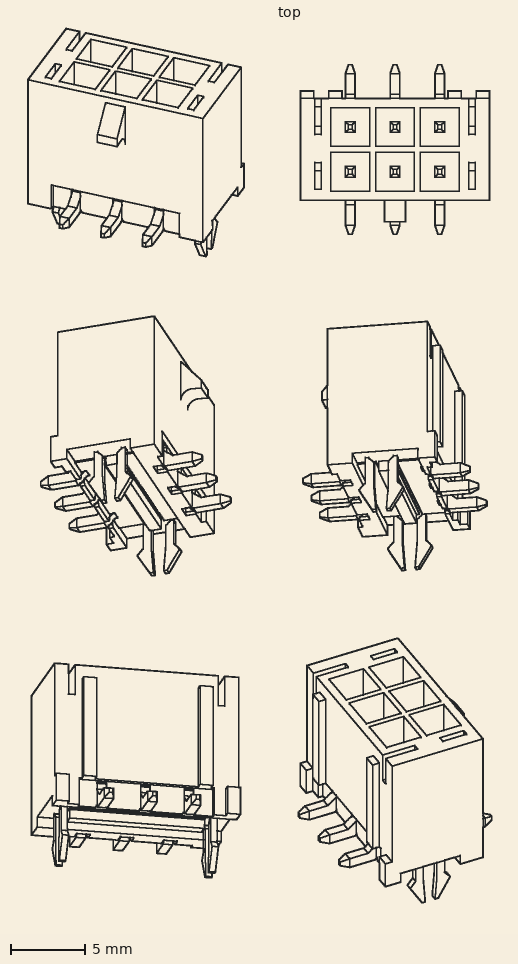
import cadquery as cq


HOUSING_LENGTH = 12.7
HOUSING_WIDTH = 6.84
HOUSING_HEIGHT = 9.92
HALF_LENGTH = HOUSING_LENGTH / 2
HALF_WIDTH = HOUSING_WIDTH / 2

COLUMNS = 3
PITCH = 3.0
ROW_REACH = PITCH / 2
CAVITY_SIZE = 2.6
CAVITY_FLOOR = 2.6

RECESS_LENGTH = 9.3
RECESS_HEIGHT = 1.91
RECESS_DEPTH = 0.34
SLOT_FLARE_WIDTH = 0.14
SLOT_FLARE_HEIGHT = 0.18

CHANNEL_FRONT = -1.72
CHANNEL_BACK = 2.77
CHANNEL_HEIGHT = 0.61
END_CHANNEL_HEIGHT = 0.72
RIB_FRONT = -0.23
RIB_BACK = 0.58
GROOVE_WIDTH = 0.18
FRONT_GROOVE_START = RIB_FRONT - GROOVE_WIDTH
BACK_GROOVE_START = 0.79

BACK_RIB_PROJECTION = 0.51
BACK_RIB_WIDTH = 0.9
BACK_RIB_TOP = 8.93
BACK_RIB_CENTRE = 4.0
FOOT_CENTRE = HALF_LENGTH - BACK_RIB_WIDTH / 2

LATCH_WIDTH = 1.42
LATCH_PROJECTION = 1.44
LATCH_TOP = 9.46
LATCH_NOSE_TOP = 7.77
LATCH_NOSE_BOTTOM = 7.15
LATCH_ROOT = 6.49
LATCH_FILLET = 0.73

PIN_WIDTH = 0.66
PIN_DEPTH = 0.73
PIN_TIP_WIDTH = 0.25
PIN_TIP_DEPTH = 0.31
PIN_TAPER = 0.61
FOOT_TIP_REACH = 11.4 / 2
POST_TOP = 7.8
RUN_TOP = 1.81
DROP_INNER_REACH = 2.39
DROP_OUTER_REACH = 2.83
UPPER_BEND_TOP = 1.4
UPPER_BEND_REACH = 3.7
LOWER_BEND_REACH = 3.16

CLIP_THICKNESS = 0.44
CLIP_X = 5.16
CLIP_Y = 0.06
CLIP_BOTTOM = HOUSING_HEIGHT - 13.0
BAR_HALF_SPAN = 1.5
BAR_TOP = 3.9
LEG_OUTER = 1.09
LEG_INNER = 0.51
LEG_NECK = 0.83
NECK_END = 0.36
NECK_START = NECK_END + LEG_NECK - LEG_INNER
BARB_SPAN = 1.51
BARB_SHOULDER = -1.12
BARB_POINT = -1.59
INNER_SPLAY_START = -1.25
LEG_TIP_OUTER = 0.61
LEG_TIP_INNER = 0.36

SLOT_INNER = 0.95
BACK_SLOT_OUTER = 2.81
FRONT_SLOT_OUTER = 2.74
SLOT_FLOOR = 3.25
BACK_NOTCH_FLOOR = 7.8


def block(x_range, y_range, z_range):
    """Axis-aligned box given by its limits on each axis."""
    (x0, x1), (y0, y1), (z0, z1) = x_range, y_range, z_range
    return cq.Workplane("XY").box(x1 - x0, y1 - y0, z1 - z0, centered=False).translate((x0, y0, z0))


def centred(middle, width):
    """Limits of a stretch of the given width around its middle."""
    return (middle - width / 2, middle + width / 2)


def yz_plate(outline, thickness):
    """Plate centred on X = 0 with a straight-sided outline of (y, z) points."""
    return cq.Workplane("YZ").polyline(outline).close().extrude(thickness / 2, both=True)


def turned_to_back(body):
    return body.rotate((0, 0, 0), (0, 0, 1), 180)


def at_each_pin(front_body):
    """Copies of a front-row body at every column of the front and back rows."""
    copies = []
    for column in range(COLUMNS):
        x = (column - (COLUMNS - 1) / 2) * PITCH
        copies.append(front_body.translate((x, 0, 0)))
        copies.append(turned_to_back(front_body).translate((x, 0, 0)))
    return copies


def tapered_tip(plane):
    """Pointed end of a pin, growing along the normal of the plane."""
    return (
        plane.rect(PIN_WIDTH, PIN_DEPTH)
        .workplane(offset=PIN_TAPER)
        .rect(PIN_TIP_WIDTH, PIN_TIP_DEPTH)
        .loft(combine=True)
    )


def make_pin():
    """Front-row pin: upright post, run outward, drop, slanted bend and level foot."""
    post_inner = ROW_REACH - PIN_DEPTH / 2
    post_outer = ROW_REACH + PIN_DEPTH / 2
    post_shoulder = POST_TOP - PIN_TAPER
    foot_shoulder = FOOT_TIP_REACH - PIN_TAPER
    run_bottom = RUN_TOP - PIN_DEPTH
    lower_bend_top = LOWER_BEND_REACH - DROP_INNER_REACH
    outline = [
        (-post_inner, run_bottom),
        (-DROP_INNER_REACH, run_bottom),
        (-DROP_INNER_REACH, lower_bend_top),
        (-LOWER_BEND_REACH, 0),
        (-foot_shoulder, 0),
        (-foot_shoulder, PIN_DEPTH),
        (-UPPER_BEND_REACH, PIN_DEPTH),
        (-DROP_OUTER_REACH, UPPER_BEND_TOP),
        (-DROP_OUTER_REACH, RUN_TOP),
        (-post_outer, RUN_TOP),
        (-post_outer, post_shoulder),
        (-post_inner, post_shoulder),
    ]
    post_tip = tapered_tip(cq.Workplane("XY", origin=(0, -ROW_REACH, post_shoulder)))
    foot_tip = tapered_tip(cq.Workplane("XZ", origin=(0, -foot_shoulder, PIN_DEPTH / 2)))
    return yz_plate(outline, PIN_WIDTH).union(post_tip).union(foot_tip)


def make_clip(x):
    """Board-lock clip: a bar held in the housing with two barbed legs below it."""
    leg = [
        (LEG_OUTER, RECESS_HEIGHT),
        (LEG_OUTER, BARB_SHOULDER),
        (BARB_SPAN, BARB_POINT),
        (LEG_TIP_OUTER, CLIP_BOTTOM),
        (LEG_TIP_INNER, CLIP_BOTTOM),
        (LEG_INNER, INNER_SPLAY_START),
        (LEG_INNER, NECK_END),
        (LEG_NECK, NECK_START),
        (LEG_NECK, RECESS_HEIGHT),
    ]
    back_half = [(BAR_HALF_SPAN, BAR_TOP), (BAR_HALF_SPAN, RECESS_HEIGHT)] + leg
    front_half = [(-y, z) for y, z in reversed(back_half)]
    return yz_plate(back_half + front_half, CLIP_THICKNESS).translate((x, CLIP_Y, 0))


def make_latch():
    """Ramped hook on the front face, with a concave root below its nose."""
    arc_shift = LATCH_FILLET * (1 - 0.5**0.5)
    arc_top = LATCH_ROOT + LATCH_FILLET
    return (
        cq.Workplane("YZ")
        .moveTo(-HALF_WIDTH, LATCH_TOP)
        .lineTo(-HALF_WIDTH - LATCH_PROJECTION, LATCH_NOSE_TOP)
        .lineTo(-HALF_WIDTH - LATCH_PROJECTION, LATCH_NOSE_BOTTOM)
        .lineTo(-HALF_WIDTH - LATCH_FILLET, arc_top)
        .threePointArc(
            (-HALF_WIDTH - arc_shift, arc_top - arc_shift),
            (-HALF_WIDTH, LATCH_ROOT),
        )
        .close()
        .extrude(LATCH_WIDTH / 2, both=True)
    )


def make_pin_slot():
    """Front-row slot in the recess wall, with its mouth flared at the bottom."""
    half_slot = PIN_WIDTH / 2
    half_mouth = half_slot + SLOT_FLARE_WIDTH
    outline = [
        (-half_mouth, 0),
        (half_mouth, 0),
        (half_slot, SLOT_FLARE_HEIGHT),
        (half_slot, RUN_TOP),
        (-half_slot, RUN_TOP),
        (-half_slot, SLOT_FLARE_HEIGHT),
    ]
    return (
        cq.Workplane("XZ", origin=(0, -DROP_INNER_REACH, 0))
        .polyline(outline)
        .close()
        .extrude(HALF_WIDTH - DROP_INNER_REACH)
    )


def cut_underside(housing):
    """Channel across the underside, deeper at both ends, with a rib and two grooves."""
    full_length = (-HALF_LENGTH, HALF_LENGTH)
    channel = (CHANNEL_FRONT, CHANNEL_BACK)
    half_recess = RECESS_LENGTH / 2
    housing = housing.cut(block(full_length, channel, (0, CHANNEL_HEIGHT)))
    for end in [(-HALF_LENGTH, -half_recess), (half_recess, HALF_LENGTH)]:
        housing = housing.cut(block(end, channel, (0, END_CHANNEL_HEIGHT)))
    for start in (FRONT_GROOVE_START, BACK_GROOVE_START):
        groove = block(full_length, (start, start + GROOVE_WIDTH), (0, END_CHANNEL_HEIGHT))
        housing = housing.cut(groove)
    rib = block((-half_recess, half_recess), (RIB_FRONT, RIB_BACK), (0, END_CHANNEL_HEIGHT))
    return housing.union(rib)


def cut_clip_slots(housing):
    """Slots from the top down to the clips; the back ones also open through the back face."""
    for x in (-CLIP_X, CLIP_X):
        slot_x = centred(x, CLIP_THICKNESS)
        front_slot = (CLIP_Y - FRONT_SLOT_OUTER, CLIP_Y - SLOT_INNER)
        back_slot = (CLIP_Y + SLOT_INNER, CLIP_Y + BACK_SLOT_OUTER)
        back_notch = (CLIP_Y + BACK_SLOT_OUTER, HALF_WIDTH)
        housing = housing.cut(block(slot_x, front_slot, (SLOT_FLOOR, HOUSING_HEIGHT)))
        housing = housing.cut(block(slot_x, back_slot, (SLOT_FLOOR, HOUSING_HEIGHT)))
        housing = housing.cut(block(slot_x, back_notch, (BACK_NOTCH_FLOOR, HOUSING_HEIGHT)))
    return housing


def add_back_ribs(housing):
    """Tall ribs above the back recess, and feet at the two back corners."""
    projection = (HALF_WIDTH, HALF_WIDTH + BACK_RIB_PROJECTION)
    foot_y = (CHANNEL_BACK, HALF_WIDTH + BACK_RIB_PROJECTION)
    for side in (-1, 1):
        rib_x = centred(side * BACK_RIB_CENTRE, BACK_RIB_WIDTH)
        foot_x = centred(side * FOOT_CENTRE, BACK_RIB_WIDTH)
        housing = housing.union(block(rib_x, projection, (RECESS_HEIGHT, BACK_RIB_TOP)))
        housing = housing.union(block(foot_x, foot_y, (0, RECESS_HEIGHT)))
    return housing


def make_housing(pins, clips):
    housing = block((-HALF_LENGTH, HALF_LENGTH), (-HALF_WIDTH, HALF_WIDTH), (0, HOUSING_HEIGHT))

    recess = block(
        centred(0, RECESS_LENGTH),
        (-HALF_WIDTH, RECESS_DEPTH - HALF_WIDTH),
        (0, RECESS_HEIGHT),
    )
    housing = housing.cut(recess).cut(turned_to_back(recess))

    cavity = block(
        centred(0, CAVITY_SIZE),
        centred(-ROW_REACH, CAVITY_SIZE),
        (CAVITY_FLOOR, HOUSING_HEIGHT),
    )
    for pocket in at_each_pin(cavity) + at_each_pin(make_pin_slot()):
        housing = housing.cut(pocket)

    housing = cut_underside(housing)
    housing = cut_clip_slots(housing)
    housing = add_back_ribs(housing)
    housing = housing.union(make_latch())

    for insert in pins + clips:
        housing = housing.cut(insert)
    return housing


pins = at_each_pin(make_pin())
clips = [make_clip(x) for x in (-CLIP_X, CLIP_X)]
housing = make_housing(pins, clips)

result = cq.Compound.makeCompound([housing.val()] + [body.val() for body in pins + clips])